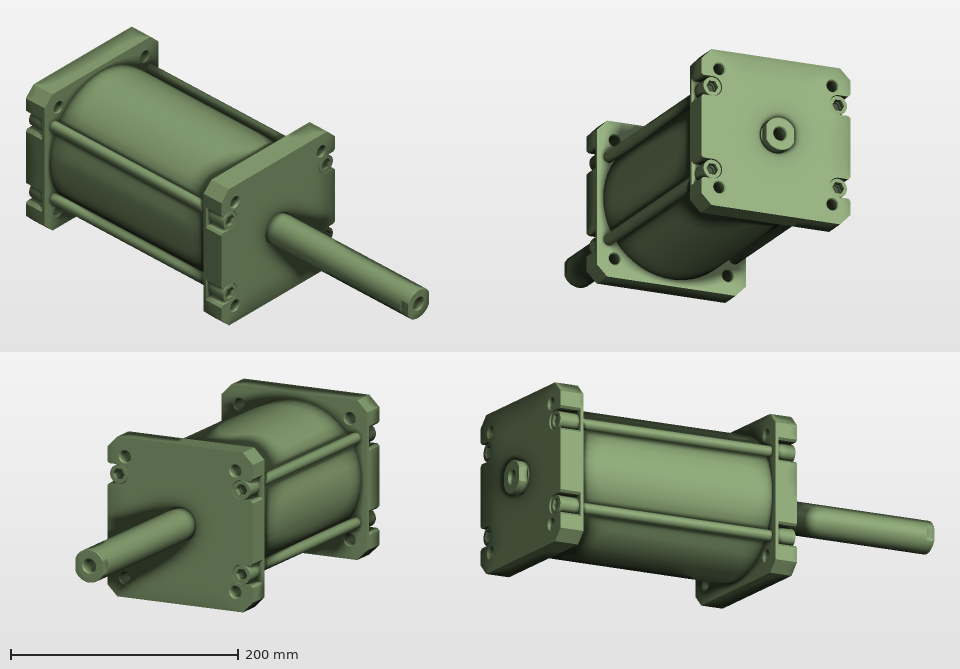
import cadquery as cq
import math


rear_cover_length = 23.0
barrel_length = 193.5
front_cover_length = 21.5
rear_rod_projection = 9.0
front_rod_projection = 171.0
front_cover_start = rear_cover_length + barrel_length
front_cover_end = front_cover_start + front_cover_length

cover_side = 145.0
cover_corner_chamfer = 10.0
mount_hole_spacing = 110.0
mount_hole_diameter = 10.2
mount_hole_chamfer = 1.0

barrel_diameter = 132.5

rod_diameter = 30.0
rod_edge_chamfer = 0.4
rod_bore_chamfer = 1.0
rod_flat_width = 27.0
rod_flat_length = 8.0
thread_hole_diameter = 12.0
thread_hole_chamfer = 1.0
thread_hole_depth = 30.0
drill_tip_angle = 118.0

tie_rod_diameter = 10.0
tie_rod_y = 61.2
tie_rod_z = 38.4
head_diameter = 17.0
rear_head_recess = 1.3
socket_across_corners = 11.5
socket_depth = 6.0
socket_pilot_diameter = 8.5
socket_pilot_depth = 2.0

pocket_width = 18.0
pocket_mouth_chamfer = 2.0
pocket_floor = 3.0



def corner_points(y, z):
    """The four mirrored (Y, Z) places around the rod axis."""
    return [(side_y * y, side_z * z) for side_y in (-1, 1) for side_z in (-1, 1)]


mount_hole_points = corner_points(mount_hole_spacing / 2, mount_hole_spacing / 2)
tie_rod_points = corner_points(tie_rod_y, tie_rod_z)


def section_plane(x):
    """Plane across the rod axis: its local axes are Y and Z, and it extrudes toward +X."""
    return cq.Workplane("YZ", origin=(x, 0, 0))


def cylinder(x, length, diameter, points=((0, 0),)):
    return section_plane(x).pushPoints(list(points)).circle(diameter / 2).extrude(length)


def head_pocket(x, length, y, z):
    """Round-bottomed pocket that opens through the nearest side face with a chamfered mouth."""
    side = 1 if y > 0 else -1
    radius = pocket_width / 2
    outer_y = side * cover_side / 2
    mouth_y = outer_y - side * pocket_mouth_chamfer
    mouth_half_width = radius + pocket_mouth_chamfer
    return (
        section_plane(x)
        .moveTo(y, z + radius)
        .lineTo(mouth_y, z + radius)
        .lineTo(outer_y, z + mouth_half_width)
        .lineTo(outer_y, z - mouth_half_width)
        .lineTo(mouth_y, z - radius)
        .lineTo(y, z - radius)
        .threePointArc((y - side * radius, z), (y, z + radius))
        .close()
        .extrude(length)
    )


def make_cover(x, length, pocket_x):
    """Square end cover; each head pocket leaves a floor on the barrel side."""
    cover = section_plane(x).rect(cover_side, cover_side).extrude(length)
    cover = cover.edges("|X").chamfer(cover_corner_chamfer)

    cover = cover.cut(cylinder(x, length, mount_hole_diameter, mount_hole_points))
    mount_holes = cq.selectors.RadiusNthSelector(0)
    cover = cover.edges("%CIRCLE").edges(mount_holes).chamfer(mount_hole_chamfer)

    cover = cover.cut(cylinder(x, length, rod_diameter))
    rod_bore = cq.selectors.RadiusNthSelector(-1)
    cover = cover.edges("%CIRCLE").edges(rod_bore).chamfer(rod_bore_chamfer)

    cover = cover.cut(cylinder(x, length, tie_rod_diameter, tie_rod_points))
    for y, z in tie_rod_points:
        cover = cover.cut(head_pocket(pocket_x, length - pocket_floor, y, z))
    return cover


def make_barrel():
    barrel = cylinder(rear_cover_length, barrel_length, barrel_diameter)
    return barrel.cut(cylinder(rear_cover_length, barrel_length, rod_diameter))


def make_piston_rod():
    """Through rod with two wrench flats and a chamfered blind thread hole at each end."""
    start = -rear_rod_projection
    end = front_cover_end + front_rod_projection
    rod = cylinder(start, end - start, rod_diameter).faces("<X or >X").chamfer(rod_edge_chamfer)

    flat_stock = (rod_diameter - rod_flat_width) / 2
    flat_offset = (rod_flat_width + flat_stock) / 2
    for x in (start, end - rod_flat_length):
        for side in (-1, 1):
            flat = section_plane(x).center(side * flat_offset, 0).rect(flat_stock, rod_diameter)
            rod = rod.cut(flat.extrude(rod_flat_length))

    return rod.cut(thread_hole(start, 1)).cut(thread_hole(end, -1))


def thread_hole(x, direction):
    """Drilled hole with a conical tip, running from x along +X (direction 1) or -X (direction -1)."""
    radius = thread_hole_diameter / 2
    tip_length = radius / math.tan(math.radians(drill_tip_angle / 2))
    mouth_end = x + direction * thread_hole_chamfer
    wall_end = x + direction * thread_hole_depth
    return (
        cq.Workplane("XY")
        .moveTo(x, 0)
        .lineTo(x, radius + thread_hole_chamfer)
        .lineTo(mouth_end, radius)
        .lineTo(wall_end, radius)
        .lineTo(wall_end + direction * tip_length, 0)
        .close()
        .revolve(360, (0, 0, 0), (1, 0, 0))
    )


def make_tie_rod(y, z):
    """Tie rod whose two heads bear on the pocket floors; each head has a hexagon socket
    with a round pilot in its floor.
    """
    point = [(y, z)]
    rear_start = rear_head_recess
    rear_seat = rear_cover_length - pocket_floor
    front_seat = front_cover_start + pocket_floor
    tie_rod = cylinder(rear_start, front_cover_end - rear_start, tie_rod_diameter, point)
    tie_rod = tie_rod.union(cylinder(rear_start, rear_seat - rear_start, head_diameter, point))
    tie_rod = tie_rod.union(cylinder(front_seat, front_cover_end - front_seat, head_diameter, point))
    for x in (rear_start, front_cover_end - socket_depth):
        socket = section_plane(x).center(y, z).polygon(6, socket_across_corners).extrude(socket_depth)
        tie_rod = tie_rod.cut(socket)
    for x in (rear_start + socket_depth, front_cover_end - socket_depth - socket_pilot_depth):
        tie_rod = tie_rod.cut(cylinder(x, socket_pilot_depth, socket_pilot_diameter, point))
    return tie_rod


rear_cover = make_cover(0, rear_cover_length, pocket_x=0)
front_cover = make_cover(front_cover_start, front_cover_length, pocket_x=front_cover_start + pocket_floor)
barrel = make_barrel()
piston_rod = make_piston_rod()
tie_rods = [make_tie_rod(y, z) for y, z in tie_rod_points]

result = cq.Compound.makeCompound(
    [
        rear_cover.val(),
        front_cover.val(),
        barrel.val(),
        piston_rod.val(),
        *[tie_rod.val() for tie_rod in tie_rods],
    ]
)